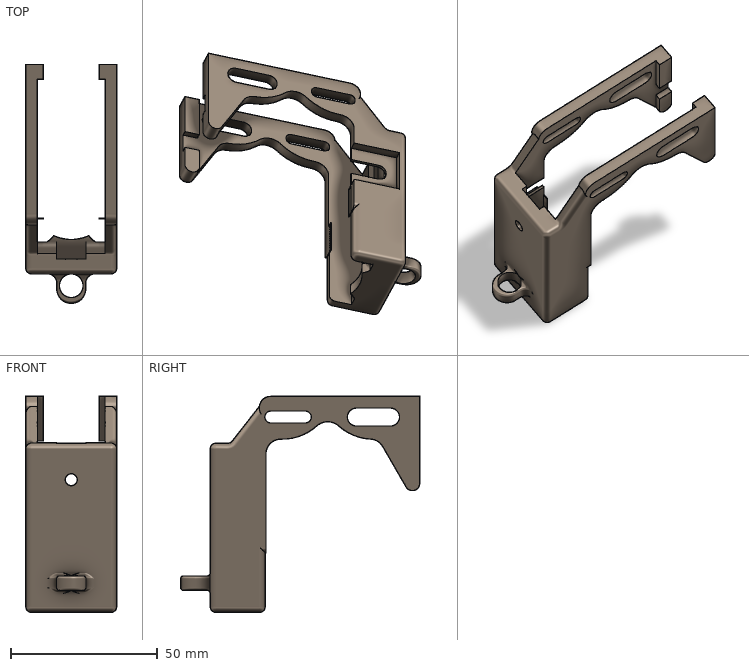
import cadquery as cq
import math


width = 31.0
half_width = width / 2
height = 73.6
wall = 4.0
inner_half = half_width - wall
edge_radius = 2.0

plate_top = 57.65
plate_thick = 6.9
box_rear = 18.8
column_rear = 19.05
column_bottom = 20.3
floor_thick = 4.0
floor_rear = 10.9
cove_radius = floor_rear - plate_thick
screw_diameter = 4.0
screw_z = 45.2

channel_half = 5.0
channel_front = 5.05
saddle_half = 6.0
saddle_rear = 13.1
saddle_dip = 11.8
saddle_flare = 8.4
saddle_flare_mid = (7.2, 11.7)

arm_rear = 71.4
shoulder_radius = 4.0
shoulder_y = 20.7
slope_top = (16.8, 70.2)
slope_angle = 52
slope_blend = 2.0
corner_blend = 5.0

margin = 0.1

scallop_radius = 17.5
scallop_middle = 40.05
scallop_spread = 15.5
scallop_z = 76.45
apex_blend = 5.6

tip_radius = 2.5
tip_z = 44.0
tip_angle = 60
lip_width = 2.0
lip_length = 5.1
lip_bottom = 58.3
lower_lip_top = 51.45

slot_z = 66.5
arm_slots = ((55.6, 17.7, 6.0), (26.55, 15.7, 4.0))

recess_front = 2.8
recess_depth = 3.0
recess_bottom = 32.1
recess_top = 47.9
side_slot_front = 6.5
side_slot_height = 6.0

eye_radius = 5.0
eye_front = -10.0
eye_height = 5.0
eye_bottom = 7.5
eye_hole_radius = 4.0
eye_flare = 3.0
eye_edge = 1.0
root_radius = 1.0
root_notch_half = 2.6
root_notch_mid = (1.2, 0.6)


def block(x0, x1, y0, y1, z0, z1):
    """Box between opposite corners."""
    return cq.Workplane("XY").box(x1 - x0, y1 - y0, z1 - z0, centered=False).translate((x0, y0, z0))


def side_plane(x):
    """Sketch plane with local axes Y and Z, extruding toward +X."""
    return cq.Workplane("YZ", origin=(x, 0, 0))


def mirrored(half):
    """A solid on the -X side together with its mirror image."""
    return half.union(half.mirror("YZ"))


def on_circle(center, radius, degrees):
    """Point of a circle at an angle from its first axis."""
    angle = math.radians(degrees)
    return (center[0] + radius * math.cos(angle), center[1] + radius * math.sin(angle))


def edges_inside(low, high):
    """Selector for edges whose middle lies between two corners."""
    return cq.selectors.BoxSelector(low, high)


def cross_edge(y, z):
    """Selector for the full-width edge parallel to X that passes through (y, z)."""
    return edges_inside((-margin, y - margin, z - margin), (margin, y + margin, z + margin))


def line_to_rear_scallop(start, degrees, center):
    """Point where a line from start first meets the rear scallop circle."""
    angle = math.radians(degrees)
    toward = (math.cos(angle), math.sin(angle))
    offset = (start[0] - center[0], start[1] - center[1])
    along = offset[0] * toward[0] + offset[1] * toward[1]
    gap = offset[0] ** 2 + offset[1] ** 2 - scallop_radius**2
    reach = -along - math.sqrt(along**2 - gap)
    return (start[0] + reach * toward[0], start[1] + reach * toward[1])


def scallop_height(distance):
    """Z of the lower side of a scallop circle at a Y distance from its center."""
    return scallop_z - math.sqrt(scallop_radius**2 - distance**2)


def side_profile():
    """Column and arm across the full width, with the corners of the profile rounded."""
    front_scallop = (scallop_middle - scallop_spread, scallop_z)
    rear_scallop = (scallop_middle + scallop_spread, scallop_z)
    apex = (scallop_middle, scallop_height(scallop_spread))
    column_corner = (column_rear, scallop_height(front_scallop[0] - column_rear))

    tip = (arm_rear - tip_radius, tip_z)
    tip_tangent = 270 - tip_angle
    tip_start = on_circle(tip, tip_radius, tip_tangent)
    tip_corner = line_to_rear_scallop(tip_start, 180 - tip_angle, rear_scallop)

    slope_run = (slope_top[1] - plate_top) / math.tan(math.radians(slope_angle))
    slope_foot = (slope_top[0] - slope_run, plate_top)
    shoulder = (shoulder_y, height - shoulder_radius)
    shoulder_end = math.degrees(math.atan2(slope_top[1] - shoulder[1], slope_top[0] - shoulder[0]))

    profile = (
        side_plane(-half_width)
        .moveTo(0, column_bottom)
        .lineTo(column_rear, column_bottom)
        .lineTo(*column_corner)
        .threePointArc(on_circle(front_scallop, scallop_radius, 270), apex)
        .threePointArc(on_circle(rear_scallop, scallop_radius, 270), tip_corner)
        .lineTo(*tip_start)
        .threePointArc(on_circle(tip, tip_radius, (tip_tangent + 360) / 2), (arm_rear, tip_z))
        .lineTo(arm_rear, height)
        .lineTo(shoulder_y, height)
        .threePointArc(on_circle(shoulder, shoulder_radius, (90 + shoulder_end) / 2), slope_top)
        .lineTo(*slope_foot)
        .lineTo(0, plate_top)
        .close()
    )
    solid = profile.extrude(width)
    rounded_corners = (
        (column_corner, corner_blend),
        (apex, apex_blend),
        (tip_corner, corner_blend),
        (slope_foot, slope_blend),
    )
    for corner, radius in rounded_corners:
        solid = solid.edges(cross_edge(*corner)).fillet(radius)
    return solid


def upper_body():
    """Full-width column and arm, rounded outside from the shoulder down and along the front."""
    rounded = edges_inside((-half_width - margin, -margin, 0), (half_width + margin, margin, height))
    for side in (-half_width, half_width):
        low = (side - margin, -margin, 0)
        high = (side + margin, slope_top[0] - margin, slope_top[1])
        rounded = rounded + edges_inside(low, high)
    return side_profile().edges(rounded).fillet(edge_radius)


def lower_body():
    """Rounded box below the column, reaching up to where the rounding under the column ends."""
    top = column_bottom + edge_radius
    box = block(-half_width, half_width, 0, box_rear, 0, top)
    return box.edges("|Z or <Z").fillet(edge_radius)


def saddle():
    """Floor joined to the plate by a cove, with a flared rest that has a hollow rear."""
    cove_top = floor_thick + cove_radius
    cove_mid = on_circle((floor_rear, cove_top), cove_radius, 225)
    floor = (
        side_plane(-inner_half)
        .moveTo(channel_front, 0)
        .lineTo(floor_rear, 0)
        .lineTo(floor_rear, floor_thick)
        .threePointArc(cove_mid, (plate_thick, cove_top))
        .lineTo(channel_front, cove_top)
        .close()
        .extrude(2 * inner_half)
    )
    rest = (
        cq.Workplane("XY")
        .moveTo(-saddle_flare, floor_rear)
        .threePointArc((-saddle_flare_mid[0], saddle_flare_mid[1]), (-saddle_half, saddle_rear))
        .threePointArc((0, saddle_dip), (saddle_half, saddle_rear))
        .threePointArc(saddle_flare_mid, (saddle_flare, floor_rear))
        .close()
        .extrude(floor_thick)
    )
    return floor.union(rest)


def inner_lips():
    """Lips inside the left arm: two at the rear of the arm and a thin one behind the column."""
    lip_edge = -inner_half + lip_width
    upper = block(-inner_half, lip_edge, arm_rear - lip_length, arm_rear, lip_bottom, height)
    lower = block(-inner_half, lip_edge, arm_rear - lip_length, arm_rear, 0, lower_lip_top)
    tip_lip = lower.intersect(side_profile())
    strip = block(-inner_half, lip_edge, box_rear, column_rear, column_bottom, recess_bottom)
    return upper.union(tip_lip).union(strip)


def arm_slot(middle, length, slot_height):
    """Round-ended slot through both arms."""
    return (
        side_plane(-half_width)
        .center(middle, slot_z)
        .slot2D(length, slot_height)
        .extrude(width)
    )


def left_recess():
    """Shallow rectangular recess in the left wall, and the open slot through its floor."""
    outside = -half_width
    recess = block(outside, outside + recess_depth, recess_front, column_rear, recess_bottom, recess_top)
    middle = (recess_bottom + recess_top) / 2
    slot_length = 2 * (column_rear - side_slot_front)
    slot = (
        side_plane(outside)
        .center(side_slot_front + slot_length / 2, middle)
        .slot2D(slot_length, side_slot_height)
        .extrude(wall)
    )
    return recess.union(slot)


def eye_blank():
    """Eye on the front face: round nose, straight sides, and a flared root."""
    nose_y = eye_front + eye_radius
    root_half = eye_radius + eye_flare
    flare_mid = on_circle((root_half, -eye_flare), eye_flare, 135)
    blank = (
        cq.Workplane("XY", origin=(0, 0, eye_bottom))
        .moveTo(root_half, 0)
        .threePointArc(flare_mid, (eye_radius, -eye_flare))
        .lineTo(eye_radius, nose_y)
        .threePointArc((0, eye_front), (-eye_radius, nose_y))
        .lineTo(-eye_radius, -eye_flare)
        .threePointArc((-flare_mid[0], flare_mid[1]), (-root_half, 0))
        .lineTo(-root_half, edge_radius)
        .lineTo(root_half, edge_radius)
        .close()
        .extrude(eye_height)
    )
    outline = edges_inside((-root_half, eye_front, 0), (root_half, -margin, height))
    return blank.faces("<Z or >Z").edges(outline).fillet(eye_edge)


def eye_hole():
    """Upright hole touching the plate, also clearing the root fillets above and below the eye."""
    return (
        cq.Workplane("XY", origin=(0, -eye_hole_radius, eye_bottom - root_radius))
        .circle(eye_hole_radius)
        .extrude(eye_height + 2 * root_radius)
    )


def root_notch():
    """Curved dip in the root fillet above the eye, where it fades out over the hole."""
    return (
        cq.Workplane("XZ", origin=(0, 0, eye_bottom + eye_height))
        .moveTo(0, 0)
        .threePointArc(root_notch_mid, (root_notch_half, root_radius))
        .lineTo(-root_notch_half, root_radius)
        .threePointArc((-root_notch_mid[0], root_notch_mid[1]), (0, 0))
        .close()
        .extrude(root_radius)
    )


inside = block(-inner_half, inner_half, plate_thick, arm_rear + margin, -margin, height + margin)
channel = block(-channel_half, channel_half, channel_front, arm_rear, floor_thick, height)
screw_hole = (
    cq.Workplane("XZ", origin=(0, 0, screw_z))
    .circle(screw_diameter / 2)
    .extrude(-plate_thick)
)

result = upper_body().union(lower_body()).cut(inside).union(saddle()).cut(channel)
result = result.union(mirrored(inner_lips()))
for slot_sizes in arm_slots:
    result = result.cut(arm_slot(*slot_sizes))
result = result.cut(left_recess()).cut(screw_hole)

eye_middle = eye_bottom + eye_height / 2
root_low = (-margin, -margin, eye_middle - eye_height)
root_high = (margin, margin, eye_middle + eye_height)
root_edges = edges_inside(root_low, root_high)
upper_notch = root_notch()
lower_notch = upper_notch.mirror("XY", (0, 0, eye_middle))
result = result.union(eye_blank()).edges(root_edges).fillet(root_radius)
result = result.cut(eye_hole()).cut(upper_notch).cut(lower_notch)